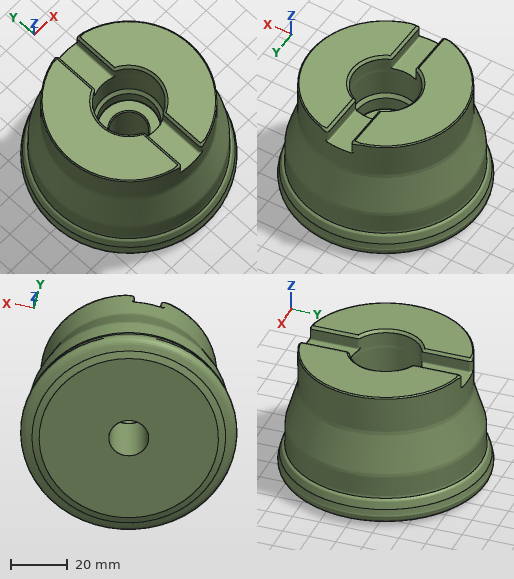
import cadquery as cq
import math

HEIGHT = 50.0
SHANK_BOTTOM = 35.0
CONE_BOTTOM = 20.2
COLLAR_BOTTOM = 11.7
SHANK_RADIUS = 62.0 / 2
COLLAR_RADIUS = 71.0 / 2
CONE_BLEND = 4.95
SHANK_TOP_CHAMFER = 0.45

LEDGE_TOP = 11.0
LEDGE_TOP_RADIUS = 35.6
LEDGE_BOTTOM = 10.2
LEDGE_BOTTOM_RADIUS = 36.55
LEDGE_RIM_BLEND = 1.0

BASE_RADIUS = 31.5
BASE_CONE_TOP = 1.7
BASE_CONE_TOP_RADIUS = 36.2

RING_BOTTOM = 0.9
RING_TOP = 7.45
RING_TOP_RADIUS = 37.45
RING_INNER_RADIUS = BASE_RADIUS + (BASE_CONE_TOP_RADIUS - BASE_RADIUS) * RING_BOTTOM / BASE_CONE_TOP

RIM_BEVEL_MIDDLE = (36.85, 2.05)
RIM_BEVEL_TOP = (37.4, 2.5)
RIM_LOWER_ARC_MIDDLE = (37.8, 3.0)
RIM_LOWER_ARC_TOP = (37.9, 3.5)
RIM_UPPER_ARC_BOTTOM = (38.0, 4.2)
RIM_WIDEST = (38.1, 4.6)
RIM_UPPER_ARC_TOP = (37.9, 5.2)

BORE_RADIUS = 25.4 / 2
BORE_BOTTOM = 32.0
BORE_CHAMFER = 1.0
RELIEF_RADIUS = 25.6 / 2
RELIEF_BOTTOM = 43.7
RELIEF_TAPER_HEIGHT = 1.0
NECK_RADIUS = 11.4
NECK_FLOOR = 25.1
NECK_FLOOR_CHAMFER = 0.15
HOLE_RADIUS = 14.0 / 2
HOLE_CHAMFER = 0.45

SLOT_HALF_WIDTH = 9.7 / 2
SLOT_FLOOR = 44.4
SLOT_EDGE = 1.0
SLOT_FLOOR_BLEND = 0.7
SLOT_MOUTH_HALF_WIDTH = SLOT_HALF_WIDTH + SLOT_EDGE
SLOT_START = 9.1
SLOT_END = math.sqrt(SHANK_RADIUS**2 - SLOT_MOUTH_HALF_WIDTH**2)
END_CHAMFER_HALF_WIDTH = 8.75

SELECT_MARGIN = 0.1
CORNER_TIP = 0.01


def revolve_about_z(profile):
    return profile.close().revolve(360, (0, 0, 0), (0, 1, 0))


def circles_at(radius, height):
    """Selects the circular edges centred on the axis at one height, out to a radius."""
    reach = radius + SELECT_MARGIN
    return cq.selectors.BoxSelector(
        (-reach, -reach, height - SELECT_MARGIN), (reach, reach, height + SELECT_MARGIN)
    )


def make_outer_shape():
    profile = (
        cq.Workplane("XZ")
        .lineTo(BASE_RADIUS, 0)
        .lineTo(RING_INNER_RADIUS, RING_BOTTOM)
        .lineTo(RING_INNER_RADIUS, RING_TOP)
        .lineTo(RING_TOP_RADIUS, RING_TOP)
        .lineTo(LEDGE_BOTTOM_RADIUS, LEDGE_BOTTOM)
        .lineTo(LEDGE_TOP_RADIUS, LEDGE_TOP)
        .lineTo(COLLAR_RADIUS, COLLAR_BOTTOM)
        .lineTo(COLLAR_RADIUS, CONE_BOTTOM)
        .lineTo(SHANK_RADIUS, SHANK_BOTTOM)
        .lineTo(SHANK_RADIUS, HEIGHT)
        .lineTo(0, HEIGHT)
    )
    body = revolve_about_z(profile)
    body = body.edges(circles_at(COLLAR_RADIUS, CONE_BOTTOM)).fillet(CONE_BLEND)
    body = body.edges(circles_at(SHANK_RADIUS, SHANK_BOTTOM)).fillet(CONE_BLEND)
    body = body.edges(circles_at(LEDGE_BOTTOM_RADIUS, LEDGE_BOTTOM)).fillet(LEDGE_RIM_BLEND)
    return body.faces(">Z").edges().chamfer(SHANK_TOP_CHAMFER)


def make_bore():
    profile = (
        cq.Workplane("XZ")
        .lineTo(HOLE_RADIUS, 0)
        .lineTo(HOLE_RADIUS, NECK_FLOOR - HOLE_CHAMFER)
        .lineTo(HOLE_RADIUS + HOLE_CHAMFER, NECK_FLOOR)
        .lineTo(NECK_RADIUS - NECK_FLOOR_CHAMFER, NECK_FLOOR)
        .lineTo(NECK_RADIUS, NECK_FLOOR + NECK_FLOOR_CHAMFER)
        .lineTo(NECK_RADIUS, BORE_BOTTOM - (BORE_RADIUS - NECK_RADIUS))
        .lineTo(BORE_RADIUS, BORE_BOTTOM)
        .lineTo(BORE_RADIUS, RELIEF_BOTTOM - RELIEF_TAPER_HEIGHT)
        .lineTo(RELIEF_RADIUS, RELIEF_BOTTOM)
        .lineTo(RELIEF_RADIUS, HEIGHT - BORE_CHAMFER)
        .lineTo(RELIEF_RADIUS + BORE_CHAMFER, HEIGHT)
        .lineTo(0, HEIGHT)
    )
    return revolve_about_z(profile)


def make_jaw():
    """Material left standing on the +X side of the slot, from the bore to the outer slot end."""
    depth = HEIGHT - SLOT_FLOOR
    jaw = (
        cq.Workplane("XY", origin=(SLOT_HALF_WIDTH, 0, SLOT_FLOOR))
        .rect(SHANK_RADIUS, SLOT_END, centered=False)
        .extrude(depth)
    )
    bore = cq.Workplane("XY", origin=(0, 0, SLOT_FLOOR)).circle(RELIEF_RADIUS).extrude(depth)
    slot_corners = cq.selectors.BoxSelector(
        (SLOT_HALF_WIDTH - SELECT_MARGIN, 0, SLOT_FLOOR),
        (SLOT_HALF_WIDTH + SELECT_MARGIN, SHANK_RADIUS, HEIGHT),
    )
    jaw = jaw.cut(bore)
    jaw = jaw.edges("|Z").edges(slot_corners).fillet(SLOT_EDGE)
    return jaw.faces(">Z").chamfer(SLOT_EDGE - CORNER_TIP)


def make_slot_half():
    """Space of the drive slot on the +Y side of the bore, flaring at both ends."""

    def block(half_width, start):
        return (
            cq.Workplane("XY", origin=(-half_width, start, SLOT_FLOOR))
            .rect(2 * half_width, SHANK_RADIUS + 0.75 - start, centered=False)
            .extrude(HEIGHT - SLOT_FLOOR)
        )

    jaw = make_jaw()
    space = block(SLOT_MOUTH_HALF_WIDTH, SLOT_START)
    space = space.union(block(END_CHAMFER_HALF_WIDTH, SLOT_END - SLOT_EDGE))
    space = space.cut(jaw).cut(jaw.mirror("YZ"))

    jaw_foot = cq.selectors.BoxSelector(
        (-END_CHAMFER_HALF_WIDTH + SELECT_MARGIN, SLOT_START + SELECT_MARGIN, SLOT_FLOOR - SELECT_MARGIN),
        (END_CHAMFER_HALF_WIDTH - SELECT_MARGIN, SLOT_END + SELECT_MARGIN, SLOT_FLOOR + SELECT_MARGIN),
    )
    return space.edges(jaw_foot).fillet(SLOT_FLOOR_BLEND)


def make_holder():
    slot_half = make_slot_half()
    return make_outer_shape().cut(make_bore()).cut(slot_half).cut(slot_half.mirror("XZ"))


def make_cutting_ring():
    profile = (
        cq.Workplane("XZ")
        .moveTo(RING_INNER_RADIUS, RING_BOTTOM)
        .lineTo(BASE_CONE_TOP_RADIUS, BASE_CONE_TOP)
        .lineTo(*RIM_BEVEL_MIDDLE)
        .lineTo(*RIM_BEVEL_TOP)
        .threePointArc(RIM_LOWER_ARC_MIDDLE, RIM_LOWER_ARC_TOP)
        .lineTo(*RIM_UPPER_ARC_BOTTOM)
        .threePointArc(RIM_WIDEST, RIM_UPPER_ARC_TOP)
        .lineTo(RING_TOP_RADIUS, RING_TOP)
        .lineTo(RING_INNER_RADIUS, RING_TOP)
    )
    return revolve_about_z(profile)


holder = make_holder()
cutting_ring = make_cutting_ring()
result = cq.Compound.makeCompound([holder.val(), cutting_ring.val()])